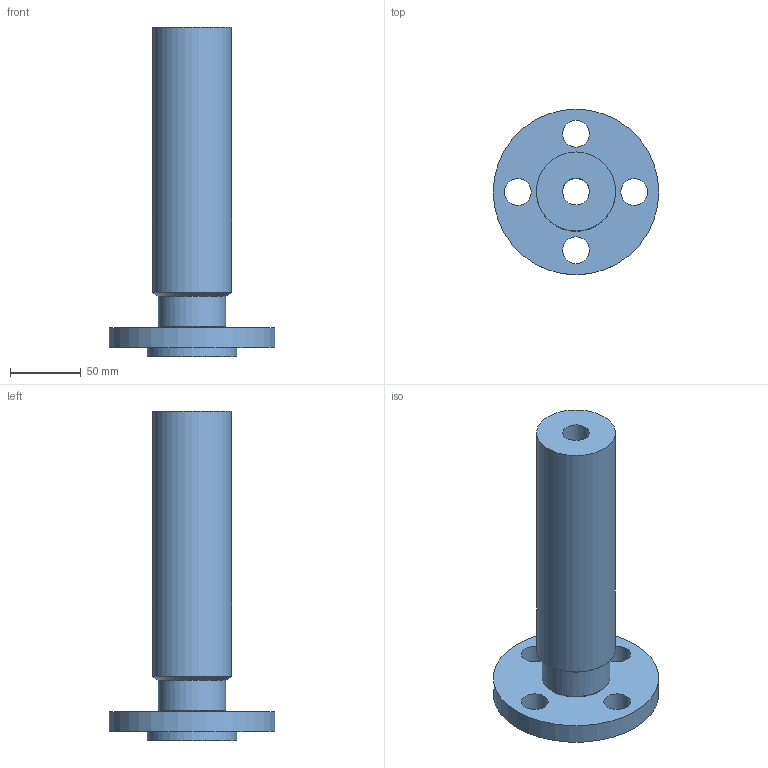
import cadquery as cq

flange_diameter = 117.32
flange_thickness = 14.3
raised_face_diameter = 63.5
raised_face_height = 6.35

bolt_circle_diameter = 82.55
bolt_hole_diameter = 19.05
bolt_hole_count = 4

overall_height = 233.36
neck_diameter = 48.0
neck_length = 22.0
neck_root_inset = 0.5
neck_root_height = 0.8
barrel_diameter = 56.0
shoulder_height = 3.0
bore_diameter = 19.05

flange_bottom = raised_face_height
flange_top = flange_bottom + flange_thickness
neck_top = flange_top + neck_length
barrel_bottom = neck_top + shoulder_height


def turned_body():
    """Raised face, flange, neck and barrel turned as one solid."""
    raised_radius = raised_face_diameter / 2
    flange_radius = flange_diameter / 2
    neck_radius = neck_diameter / 2
    barrel_radius = barrel_diameter / 2
    profile = [
        (0, 0),
        (raised_radius, 0),
        (raised_radius, flange_bottom),
        (flange_radius, flange_bottom),
        (flange_radius, flange_top),
        (neck_radius - neck_root_inset, flange_top),
        (neck_radius, flange_top + neck_root_height),
        (neck_radius, neck_top),
        (barrel_radius, barrel_bottom),
        (barrel_radius, overall_height),
        (0, overall_height),
    ]
    return cq.Workplane("XZ").polyline(profile).close().revolve(360, (0, 0, 0), (0, 1, 0))


def bore():
    """Straight passage through the full height."""
    return cq.Workplane("XY").circle(bore_diameter / 2).extrude(overall_height)


def bolt_holes():
    """Through holes spaced evenly around the flange, on the X and Y axes."""
    return (
        cq.Workplane("XY")
        .workplane(offset=flange_bottom)
        .polarArray(bolt_circle_diameter / 2, 0, 360, bolt_hole_count)
        .circle(bolt_hole_diameter / 2)
        .extrude(flange_thickness)
    )


result = turned_body().cut(bore()).cut(bolt_holes())